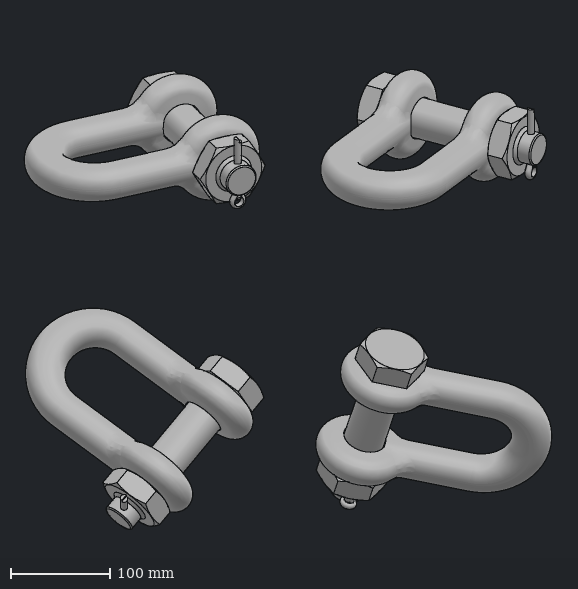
import cadquery as cq
import math


total_length = 229.9
overlap = 1.1

leg_offset = 49.2
bar_thickness = 38.0
bar_flat = 2.0
bar_half = bar_thickness / 2
flat_half = bar_flat / 2
bar_corner = bar_half - flat_half
bend_thickening = 2.8

eye_radius = 46.0
eye_rim_radius = 32.2
eye_rim_half = 15.5
eye_hub_half = 16.8
bore_radius = 21.5
neck_radius = 27.5

bend_outer_y = eye_radius - total_length + leg_offset + bar_half
bend_inner_y = bend_outer_y + bend_thickening

shank_radius = 20.7
head_thickness = 22.0
head_flats = 61.8
head_face_radius = 30.5
nut_thickness = 22.3
nut_flats = 63.2
nut_face_radius = 31.3
hex_chamfer_angle = 27.0
tip_radius = 16.8
tip_taper_start = 87.5
tip_end = 106.7
tip_chamfer = 1.4
taper_length = shank_radius - tip_radius

head_inner_x = -(leg_offset + eye_hub_half)
head_outer_x = head_inner_x - head_thickness
nut_inner_x = leg_offset + eye_hub_half

cotter_x = 97.5
cotter_radius = 3.7
long_prong_top = 44.1
short_prong_top = 40.7
cotter_bottom = -35.2
loop_radius = 8.7
loop_inner_radius = loop_radius - cotter_radius
loop_centre_z = cotter_bottom + loop_radius
loop_leg_angle = 30.0


def bar_half_profile(plane, outward):
    """Rounded half of the bar section, outside (+1) or inside (-1) of the leg centre line."""
    split_x = leg_offset + outward * flat_half
    side_x = leg_offset + outward * bar_half
    arc_x = split_x + outward * bar_corner * math.sqrt(0.5)
    arc_z = flat_half + bar_corner * math.sqrt(0.5)
    return (
        plane.moveTo(split_x, bar_half)
        .threePointArc((arc_x, arc_z), (side_x, flat_half))
        .lineTo(side_x, -flat_half)
        .threePointArc((arc_x, -arc_z), (split_x, -bar_half))
        .close()
    )


def make_u_half(outward, bend_y):
    """Outer or inner half of the U-shaped bar, bent about its own centre."""
    leg = bar_half_profile(cq.Workplane("XZ"), outward).extrude(-bend_y)
    bend_plane = cq.Workplane("XZ", origin=(0, bend_y, 0))
    bend = bar_half_profile(bend_plane, outward).revolve(180, (0, 0), (0, -1))
    return leg.union(bend).union(leg.mirror("YZ"))


def make_u_core():
    """Flat core between the two halves, thickest at the bottom of the bend."""
    outer_x = leg_offset + flat_half
    inner_x = leg_offset - flat_half
    return (
        cq.Workplane("XY", origin=(0, 0, -bar_half))
        .moveTo(outer_x, 0)
        .lineTo(outer_x, bend_outer_y)
        .threePointArc((0, bend_outer_y - outer_x), (-outer_x, bend_outer_y))
        .lineTo(-outer_x, 0)
        .lineTo(-inner_x, 0)
        .lineTo(-inner_x, bend_inner_y)
        .threePointArc((0, bend_inner_y - inner_x), (inner_x, bend_inner_y))
        .lineTo(inner_x, 0)
        .close()
        .extrude(bar_thickness)
    )


def make_eye(centre_x):
    """Ring round the bolt, with conical side faces and a rounded rim."""
    return (
        cq.Workplane("XZ", origin=(centre_x, 0, 0))
        .moveTo(-eye_hub_half, bore_radius)
        .lineTo(-eye_rim_half, eye_rim_radius)
        .threePointArc((0, eye_radius), (eye_rim_half, eye_rim_radius))
        .lineTo(eye_hub_half, bore_radius)
        .close()
        .revolve(360, (0, 0), (1, 0))
    )


def blend_necks(bow):
    """Round the corners where the eyes meet the upper and lower sides of the legs."""
    corner_y = -math.sqrt(eye_radius**2 - bar_half**2)
    corners = []
    for side in (-1, 1):
        for level in (-1, 1):
            corner = (side * leg_offset, corner_y, level * bar_half)
            corners += bow.edges(cq.NearestToPointSelector(corner)).vals()
    return bow.newObject(corners).fillet(neck_radius)


def make_bow(bolt):
    bore_length = 4 * leg_offset
    bore = cq.Workplane("YZ", origin=(-bore_length / 2, 0, 0)).circle(bore_radius).extrude(bore_length)
    bow = make_u_half(1, bend_outer_y)
    bow = bow.union(make_u_half(-1, bend_inner_y))
    bow = bow.union(make_u_core()).cut(bore)
    for side in (-1, 1):
        bow = bow.union(make_eye(side * leg_offset))
    return blend_necks(bow).cut(bolt)


def make_hexagon(start_x, thickness, flats, face_radius, chamfer_start, chamfer_end):
    """Hexagon along X, corners on +-Y, with conical chamfers on the chosen ends."""
    corner_radius = flats / math.sqrt(3)
    chamfer = (corner_radius - face_radius) * math.tan(math.radians(hex_chamfer_angle))
    end_x = start_x + thickness
    hexagon = cq.Workplane("YZ", origin=(start_x, 0, 0)).polygon(6, 2 * corner_radius).extrude(thickness)
    outline = [(start_x, 0)]
    if chamfer_start:
        outline += [(start_x, face_radius), (start_x + chamfer, corner_radius)]
    else:
        outline += [(start_x, corner_radius)]
    if chamfer_end:
        outline += [(end_x - chamfer, corner_radius), (end_x, face_radius)]
    else:
        outline += [(end_x, corner_radius)]
    outline += [(end_x, 0)]
    envelope = cq.Workplane("XY").polyline(outline).close().revolve(360, (0, 0), (1, 0))
    return hexagon.intersect(envelope)


def make_shank():
    outline = [
        (head_inner_x - overlap, 0),
        (head_inner_x - overlap, shank_radius),
        (tip_taper_start, shank_radius),
        (tip_taper_start + taper_length, tip_radius),
        (tip_end - tip_chamfer, tip_radius),
        (tip_end, tip_radius - tip_chamfer),
        (tip_end, 0),
    ]
    return cq.Workplane("XY").polyline(outline).close().revolve(360, (0, 0), (1, 0))


def half_round(plane, base):
    """Half disc of the cotter wire, its flat side at local y = base, bulging to +y."""
    return (
        plane.moveTo(-cotter_radius, base)
        .threePointArc((0, base + cotter_radius), (cotter_radius, base))
        .close()
    )


def make_cotter():
    """Split cotter: two unequal half-round prongs above and an eye below."""
    long_prong = half_round(cq.Workplane("XY", origin=(cotter_x, 0, 0)), 0).extrude(long_prong_top)
    long_prong = long_prong.mirror("XZ")
    short_prong = half_round(cq.Workplane("XY", origin=(cotter_x, 0, 0)), 0).extrude(short_prong_top)

    loop_plane = cq.Workplane("XZ", origin=(cotter_x, 0, loop_centre_z))
    loop = half_round(loop_plane, loop_inner_radius).revolve(360, (0, 0), (1, 0))

    slope = math.radians(loop_leg_angle)
    leg_length = loop_inner_radius / math.tan(slope)
    leg_plane = cq.Plane(
        origin=(cotter_x, 0, loop_centre_z),
        xDir=(-1, 0, 0),
        normal=(0, math.sin(slope), math.cos(slope)),
    )
    leg = half_round(cq.Workplane(leg_plane), loop_inner_radius).extrude(leg_length)

    cotter = long_prong.union(short_prong).union(loop)
    return cotter.union(leg).union(leg.mirror("XZ"))


def make_bolt():
    """Bolt with its head, nut and cotter as one solid."""
    head = make_hexagon(head_outer_x, head_thickness, head_flats, head_face_radius, True, False)
    nut = make_hexagon(nut_inner_x, nut_thickness, nut_flats, nut_face_radius, True, True)
    return make_shank().union(head).union(nut).union(make_cotter())


bolt = make_bolt()
bow = make_bow(bolt)

result = cq.Compound.makeCompound([bow.solids().val(), bolt.solids().val()])